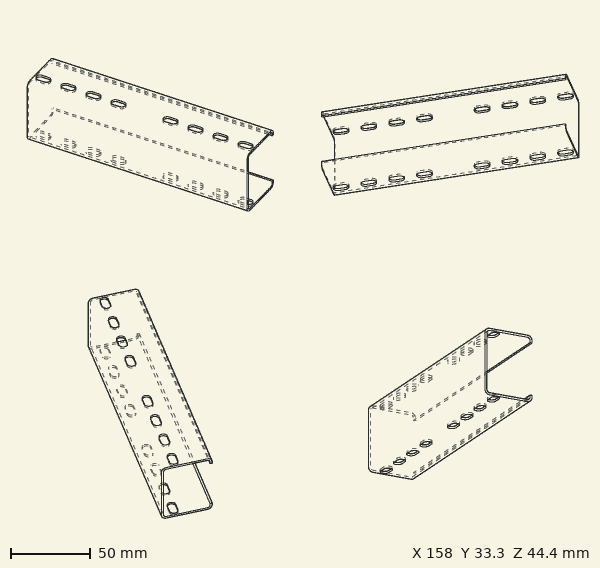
import cadquery as cq

length = 158.0
depth = 33.3
height = 44.4

sheet = 1.5
bend_inner_radius = 1.9
bend_outer_radius = bend_inner_radius + sheet
lip_height = 4.7

slot_length = 10.0
slot_width = 5.5
slot_pitch = 18.0
slots_per_group = 4
inner_slot_x = 18.6
slot_from_web_face = 9.3


def tube_body(inset, corner_radius):
    """Solid bar with rounded long edges, inset from the outer faces of the channel."""
    return (
        cq.Workplane("YZ")
        .rect(depth - 2 * inset, height - 2 * inset)
        .extrude(length / 2, both=True)
        .edges("|X")
        .fillet(corner_radius)
    )


def lip_opening():
    """Block that opens the +Y wall, leaving only the two lips."""
    opening_height = height - 2 * lip_height
    return cq.Workplane("XY").box(length, depth, opening_height).translate((0, depth / 2, 0))


def flange_slots():
    """Cutters for the slots, passing through the top and bottom flanges."""
    slot_y = -depth / 2 + slot_from_web_face
    centers = []
    for index in range(slots_per_group):
        slot_x = inner_slot_x + index * slot_pitch
        centers.append((-slot_x, slot_y))
        centers.append((slot_x, slot_y))
    return (
        cq.Workplane("XY")
        .pushPoints(centers)
        .slot2D(slot_length, slot_width)
        .extrude(height, both=True)
    )


channel = tube_body(0, bend_outer_radius).cut(tube_body(sheet, bend_inner_radius))
result = channel.cut(lip_opening()).cut(flange_slots())